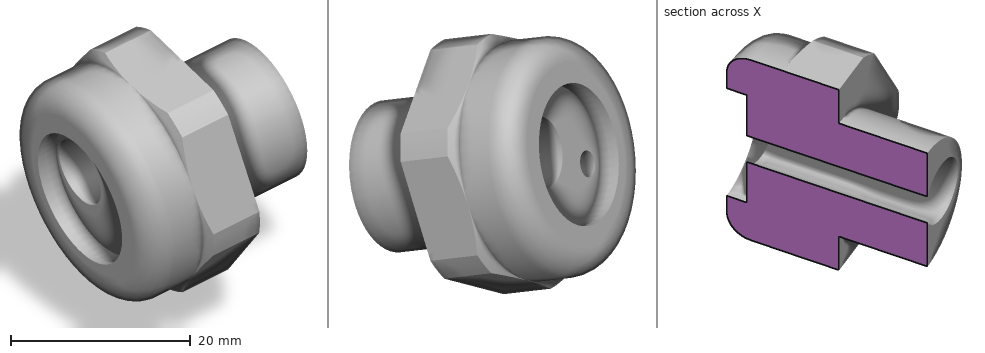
import cadquery as cq
import math

cap_diameter = 27.0
cap_length = 7.0
cap_edge_radius = 3.0

hex_sides = 6
across_flats = cap_diameter
corner_diameter = 29.5
hex_length = 7.0
hex_chamfer_angle = 30.0

shank_diameter = 17.0
shank_length = 11.0

recess_diameter = 16.0
recess_depth = 2.5

large_hole_diameter = 8.0
large_hole_x = -3.5
small_hole_diameter = 3.0
small_hole_x = 5.5

hex_start = cap_length
shank_start = hex_start + hex_length
total_length = shank_start + shank_length


def plane_at(y):
    """Sketch plane across the axis at the given Y; extrusions run toward +Y."""
    return cq.Workplane(cq.Plane(origin=(0, y, 0), xDir=(1, 0, 0), normal=(0, 1, 0)))


def cylinder(y, diameter, length, x=0.0):
    return plane_at(y).center(x, 0).circle(diameter / 2).extrude(length)


def make_cap():
    return cylinder(0, cap_diameter, cap_length).faces("<Y").edges().fillet(cap_edge_radius)


def make_hexagon():
    """Hexagon with flats facing +Z and -Z, trimmed by a turned blank with a chamfered front."""
    across_corners = across_flats / math.cos(math.pi / hex_sides)
    prism = plane_at(hex_start).polygon(hex_sides, across_corners).extrude(hex_length)
    flat_radius = across_flats / 2
    corner_radius = corner_diameter / 2
    chamfer_length = (corner_radius - flat_radius) * math.tan(math.radians(hex_chamfer_angle))
    blank = (
        cq.Workplane("XY")
        .moveTo(0, hex_start)
        .lineTo(flat_radius, hex_start)
        .lineTo(corner_radius, hex_start + chamfer_length)
        .lineTo(corner_radius, shank_start)
        .lineTo(0, shank_start)
        .close()
        .revolve(360, (0, 0, 0), (0, 1, 0))
    )
    return prism.intersect(blank)


body = make_cap().union(make_hexagon())
body = body.union(cylinder(shank_start, shank_diameter, shank_length))

body = body.cut(cylinder(0, recess_diameter, recess_depth))
for hole_diameter, hole_x in (
    (large_hole_diameter, large_hole_x),
    (small_hole_diameter, small_hole_x),
):
    body = body.cut(cylinder(0, hole_diameter, total_length, hole_x))

result = body